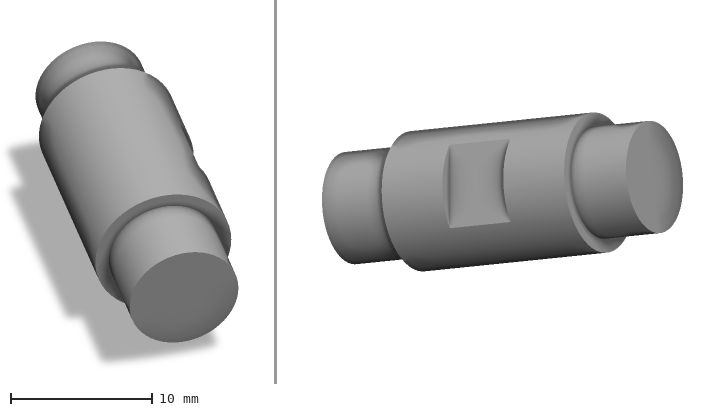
import cadquery as cq

total_length = 25.0
journal_diameter = 8.0

body_diameter = 10.0
body_start = 4.5
body_length = 15.0

flat_length = 5.0
flat_depth = 1.0


def cylinder_along_x(start, length, diameter):
    """Solid cylinder on the X axis."""
    return cq.Workplane("YZ", origin=(start, 0, 0)).circle(diameter / 2).extrude(length)


def flat_cutter():
    """Block that removes everything beyond the flat, over the full height of the body."""
    flat_center = body_start + body_length / 2
    flat_y = body_diameter / 2 - flat_depth
    return (
        cq.Workplane("XY")
        .box(flat_length, body_diameter, body_diameter, centered=(True, False, True))
        .translate((flat_center, flat_y, 0))
    )


shaft = cylinder_along_x(0, total_length, journal_diameter)
body = cylinder_along_x(body_start, body_length, body_diameter)
result = shaft.union(body).cut(flat_cutter())